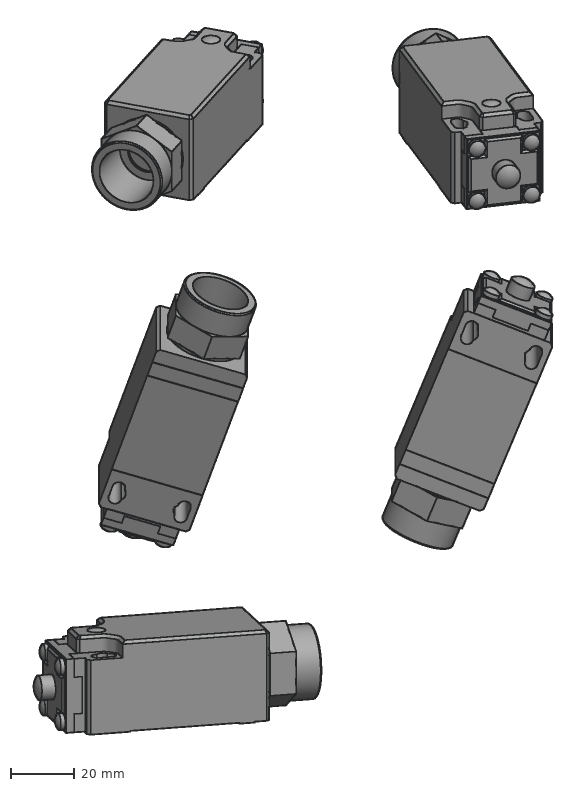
import cadquery as cq
import math


width = 30.3
shoulder_y = 60.0
foot_height = 0.3
cover_z = 29.95
edge_chamfer = 1.0
front_foot = (45.9, shoulder_y)
rear_foot = (4.9, 10.0)

ear_z = 24.5
tab_width = 12.05
tab_front_y = 60.9
tab_corner_chamfer = 0.9
cover_shoulder_y = 48.5
diagonal_leg = 3.2
diagonal_fillet = 2.9
slot_x = 11.0
slot_y = 53.5
slot_radius = 2.05
slot_half_travel = 1.9
bulge_radius = 2.3
bulge_offset = 0.6

head_width = 24.1
head_joint_y = 63.5
head_front_y = 66.4
head_chamfer = 0.3
plate_thickness = 1.0
plate_inset = 0.5
plate_chamfer = 0.7
screw_spacing = 18.0
screw_radius = 2.7
screw_rim_y = 67.8
screw_dome_height = 1.1

plunger_radius = 4.0
plunger_rim_y = 71.85
plunger_dome_height = 1.5

gland_z = 14.5
gland_radius = 12.05
neck_length = 1.0
hex_length = 8.5
gland_length = 18.0
gland_chamfer = 0.5
gland_bore_radius = 9.2
cable_hole_radius = 6.5

button_y = 52.9
button_radius = 2.9
button_height = 0.6

body_bottom_z = foot_height
head_z = (body_bottom_z + ear_z) / 2
head_height = ear_z - body_bottom_z
plate_front_y = head_front_y + plate_thickness


def block(size_x, y_range, z_range):
    """Box centred on X = 0, spanning the given Y and Z ranges."""
    y0, y1 = y_range
    z0, z1 = z_range
    return cq.Workplane("XY").box(size_x, y1 - y0, z1 - z0, centered=(True, False, False)).translate((0, y0, z0))


def dome_profile(plane, radius, start, rim, height):
    """Solid of revolution about the plane's vertical axis: a cylinder from start to rim, then a spherical cap."""
    sphere_radius = (radius**2 + height**2) / (2 * height)
    half_angle = math.asin(radius / sphere_radius) / 2
    mid_radius = sphere_radius * math.sin(half_angle)
    mid_height = rim + height - sphere_radius * (1 - math.cos(half_angle))
    outline = cq.Workplane(plane).moveTo(0, start).lineTo(radius, start)
    if rim > start:
        outline = outline.lineTo(radius, rim)
    outline = outline.threePointArc((mid_radius, mid_height), (0, rim + height)).close()
    return outline.revolve(360, (0, 0, 0), (0, 1, 0))


def cover_block():
    """Raised cover: full width at the rear, narrowing by fillets and a diagonal to the tab."""
    half, tab = width / 2, tab_width / 2
    right_side = [
        (half, 0),
        (half, cover_shoulder_y),
        (tab + diagonal_leg, cover_shoulder_y),
        (tab, cover_shoulder_y + diagonal_leg),
        (tab, tab_front_y),
    ]
    left_side = [(-x, y) for x, y in reversed(right_side)]
    cover = (
        cq.Workplane("XY").workplane(offset=ear_z).polyline(right_side + left_side).close().extrude(cover_z - ear_z)
    )

    def upright_edges(x, y):
        reach = 0.1
        edges = cq.Workplane("XY")
        for side in (-1, 1):
            corner = cq.selectors.BoxSelector(
                (side * x - reach, y - reach, ear_z), (side * x + reach, y + reach, cover_z)
            )
            edges = edges.add(cover.edges("|Z").edges(corner))
        return edges.vals()

    diagonal_ends = upright_edges(tab + diagonal_leg, cover_shoulder_y) + upright_edges(
        tab, cover_shoulder_y + diagonal_leg
    )
    cover = cover.newObject(diagonal_ends).fillet(diagonal_fillet)
    cover = cover.newObject(upright_edges(tab, tab_front_y)).chamfer(tab_corner_chamfer)
    cover = cover.newObject(upright_edges(half, 0)).chamfer(edge_chamfer)
    return cover.faces(">Z").edges().chamfer(edge_chamfer)


def ear_slots():
    """Upright slot with a sideways bulge towards the tab, through both ears."""
    depth = ear_z
    slots = cq.Workplane("XY")
    for side in (-1, 1):
        x = side * slot_x
        upright = cq.Workplane("XY").center(x, slot_y)
        upright = upright.slot2D(2 * (slot_half_travel + slot_radius), 2 * slot_radius, 90).extrude(depth)
        bulge = cq.Workplane("XY").center(x - side * bulge_offset, slot_y).circle(bulge_radius).extrude(depth)
        slots = slots.add(upright.union(bulge))
    return slots.combine()


def make_housing():
    body = block(width, (0, shoulder_y), (0, ear_z)).edges("|Z").chamfer(edge_chamfer)
    foot_gaps = [(0, rear_foot[0]), (rear_foot[1], front_foot[0])]
    for gap in foot_gaps:
        body = body.cut(block(width, gap, (0, foot_height)))
    neck = block(head_width, (shoulder_y, head_joint_y), (body_bottom_z, ear_z))
    return body.union(neck).union(cover_block()).cut(ear_slots()).cut(head_key())


def head_key():
    """Cross-shaped back of the head that sits between the four corner posts of the housing neck."""
    key_y = (tab_front_y, head_joint_y)
    across = block(head_width, key_y, (head_z - tab_width / 2, head_z + tab_width / 2))
    upright = block(tab_width, key_y, (body_bottom_z, ear_z))
    return across.union(upright)


def make_head():
    flange = block(head_width, (head_joint_y, head_front_y), (body_bottom_z, ear_z))
    head = flange.faces(">Y").edges().chamfer(head_chamfer).union(head_key())

    arm_width = screw_spacing - 2 * screw_radius
    plate_half_height = head_height / 2 - plate_inset
    plate_y = (head_front_y, plate_front_y)
    across = block(head_width - 2 * plate_inset, plate_y, (head_z - arm_width / 2, head_z + arm_width / 2))
    upright = block(arm_width, plate_y, (head_z - plate_half_height, head_z + plate_half_height))
    plate = across.union(upright).faces(">Y").edges().chamfer(plate_chamfer)
    head = head.union(plate)

    screw = dome_profile("XY", screw_radius, head_front_y, screw_rim_y, screw_dome_height)
    for side_x in (-1, 1):
        for side_z in (-1, 1):
            x = side_x * screw_spacing / 2
            z = head_z + side_z * screw_spacing / 2
            head = head.union(screw.translate((x, 0, z)))
    return head


def make_plunger():
    plunger = dome_profile("XY", plunger_radius, plate_front_y, plunger_rim_y, plunger_dome_height)
    return plunger.translate((0, 0, head_z))


def make_gland():
    """Collar with a hexagon whose flats are flush with it, bored from the open end."""
    end_plane = cq.Workplane("XZ", origin=(0, 0, gland_z))
    collar = end_plane.circle(gland_radius).extrude(gland_length).faces("<Y").chamfer(gland_chamfer)
    corner_diameter = 2 * gland_radius / math.cos(math.pi / 6)
    hexagon = end_plane.workplane(offset=neck_length).transformed(rotate=(0, 0, 90))
    hexagon = hexagon.polygon(6, corner_diameter).extrude(hex_length)
    bore = end_plane.workplane(offset=neck_length).circle(gland_bore_radius).extrude(gland_length)
    cable_hole = end_plane.circle(cable_hole_radius).extrude(gland_length)
    return collar.union(hexagon).cut(bore).cut(cable_hole)


def make_button():
    button = dome_profile("XZ", button_radius, cover_z, cover_z, button_height)
    return button.translate((0, button_y, 0))


housing = make_housing()
head = make_head()
plunger = make_plunger()
gland = make_gland()
button = make_button()

result = cq.Compound.makeCompound([housing.val(), head.val(), plunger.val(), gland.val(), button.val()])